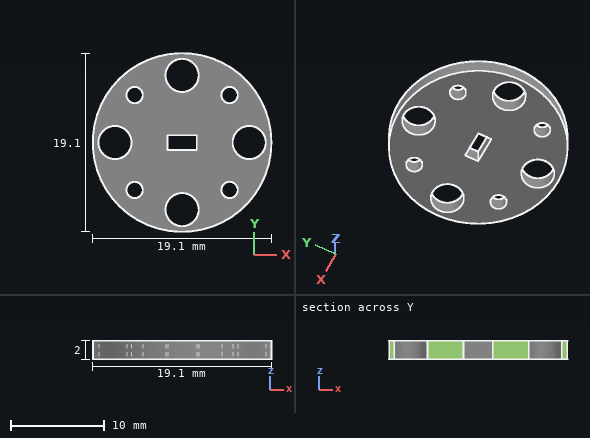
import cadquery as cq

disc_diameter = 19.05
thickness = 2.0

pitch_radius = 7.15
holes_per_set = 4
large_hole_diameter = 3.5
small_hole_diameter = 1.71
small_hole_start_angle = 180 / holes_per_set

opening_length = 3.07
opening_width = 1.55


def hole_ring(diameter, start_angle):
    """Through-hole cutters equally spaced on the pitch circle."""
    return (
        cq.Workplane("XY")
        .polarArray(pitch_radius, start_angle, 360, holes_per_set)
        .circle(diameter / 2)
        .extrude(thickness)
    )


disc = cq.Workplane("XY").circle(disc_diameter / 2).extrude(thickness)
opening = cq.Workplane("XY").rect(opening_length, opening_width).extrude(thickness)

result = (
    disc.cut(hole_ring(large_hole_diameter, 0))
    .cut(hole_ring(small_hole_diameter, small_hole_start_angle))
    .cut(opening)
)